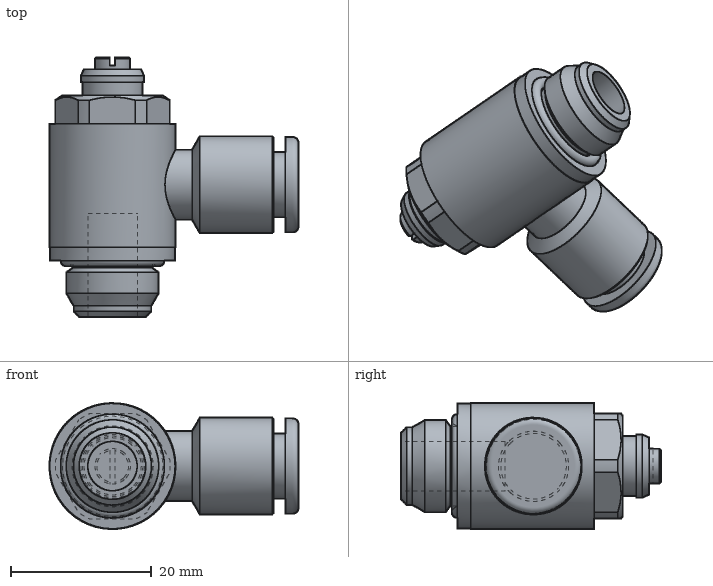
import cadquery as cq

length = 37.0
body_radius = 9.0
body_front_y = 9.95
body_back_y = 27.5
front_ring_radius = 8.9
front_ring_y = 8.03

thread_radius = 6.6
thread_back_y = 6.35
thread_front_y = 3.4
relief_radius = 5.65
relief_y = 7.03
pilot_radius = 5.55
pilot_back_y = 1.6
pilot_chamfer = 0.8
bore_radius = 3.5
bore_depth = 14.8

seal_center_radius = 6.6
seal_tube_radius = 0.8

hex_flats = 15.0
hex_turn = 30.0
hex_corner_radius = 8.18
hex_back_y = 31.55
hex_chamfer_width = 1.05
hex_chamfer_height = 0.7

collar_neck_radius = 4.3
collar_radius = 4.5
collar_front_y = 33.45
collar_chamfer_y = 34.35
collar_back_y = 35.3
collar_back_radius = 4.07
screw_radius = 2.5
screw_chamfer = 0.25
slot_width = 0.7
slot_depth = 1.2

branch_y = 18.85
branch_neck_radius = 5.0
branch_cone_x = 11.32
sleeve_radius = 6.92
sleeve_start_x = 12.45
sleeve_end_x = 22.95
sleeve_chamfer = 0.22
release_neck_radius = 4.65
flange_radius = 6.8
flange_start_x = 24.6
flange_end_x = 26.5
flange_fillet = 0.9


def make_body():
    """Revolve the stepped half outline (radius, Y) about the Y axis."""
    outline = [
        (0, 0),
        (pilot_radius - pilot_chamfer, 0),
        (pilot_radius, pilot_chamfer),
        (pilot_radius, pilot_back_y),
        (thread_radius, thread_front_y),
        (thread_radius, thread_back_y),
        (relief_radius, relief_y),
        (relief_radius, front_ring_y),
        (front_ring_radius, front_ring_y),
        (front_ring_radius, body_front_y),
        (body_radius, body_front_y),
        (body_radius, body_back_y),
        (collar_neck_radius, body_back_y),
        (collar_neck_radius, collar_front_y),
        (collar_radius, collar_front_y),
        (collar_radius, collar_chamfer_y),
        (collar_back_radius, collar_back_y),
        (screw_radius, collar_back_y),
        (screw_radius, length - screw_chamfer),
        (screw_radius - screw_chamfer, length),
        (0, length),
    ]
    return cq.Workplane("XY").polyline(outline).close().revolve(360, (0, 0), (0, 1))


def make_seal():
    """Torus around the relief groove, centred on the front face."""
    tube = cq.Workplane("XY").center(seal_center_radius, front_ring_y).circle(seal_tube_radius)
    return tube.revolve(360, (-seal_center_radius, 0), (-seal_center_radius, 1))


def make_hexagon():
    """Hexagon with two flats facing +Z and -Z, trimmed by a chamfered round."""
    height = hex_back_y - body_back_y
    base = cq.Workplane("XZ", origin=(0, hex_back_y, 0))
    prism = base.polygon(6, hex_flats, circumscribed=True).extrude(height)
    prism = prism.rotate((0, 0, 0), (0, 1, 0), hex_turn)
    envelope = base.circle(hex_corner_radius).extrude(height)
    envelope = envelope.faces(">Y").chamfer(hex_chamfer_height, hex_chamfer_width)
    return prism.intersect(envelope)


def make_branch():
    """Revolve the branch half outline about its axis, parallel to X."""
    return (
        cq.Workplane("XY", origin=(0, branch_y, 0))
        .lineTo(0, branch_neck_radius)
        .lineTo(branch_cone_x, branch_neck_radius)
        .lineTo(sleeve_start_x, sleeve_radius)
        .lineTo(sleeve_end_x - sleeve_chamfer, sleeve_radius)
        .lineTo(sleeve_end_x, sleeve_radius - sleeve_chamfer)
        .lineTo(sleeve_end_x, release_neck_radius)
        .lineTo(flange_start_x, release_neck_radius)
        .lineTo(flange_start_x, flange_radius)
        .lineTo(flange_end_x - flange_fillet, flange_radius)
        .radiusArc((flange_end_x, flange_radius - flange_fillet), flange_fillet)
        .lineTo(flange_end_x, 0)
        .close()
        .revolve(360, (0, 0), (1, 0))
    )


def make_bore():
    """Blind hole entering the threaded end."""
    return cq.Workplane("XZ").circle(bore_radius).extrude(-bore_depth)


def make_slot():
    """Screwdriver slot running along Z across the screw head."""
    slot_center_y = length - slot_depth / 2
    slot = cq.Workplane("XY").box(slot_width, slot_depth, 2 * screw_radius)
    return slot.translate((0, slot_center_y, 0))


result = make_body().union(make_seal()).union(make_hexagon()).union(make_branch())
result = result.cut(make_bore()).cut(make_slot())